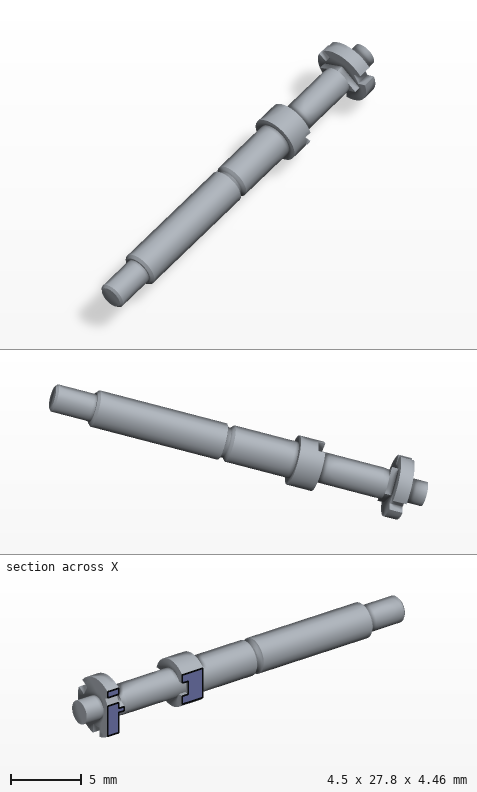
import cadquery as cq

length = 27.8
head_end = length / 2

flange_start = 1.47
flange_end = 2.47
key_end = 2.95
neck_taper_end = 3.35
collar_start = 7.98
collar_end = 9.8
groove_start = 14.55
groove_bottom = 14.8
groove_end = 15.12
body_end = 24.8

head_radius = 0.9
flange_radius = 2.25
neck_radius = 1.1
collar_radius = 1.8
body_radius = 1.33
tail_radius = 1.0

neck_taper_depth = 0.042
body_chamfer = 0.2
tail_chamfer = 0.17

notch_count = 3
notch_width = 0.83
notch_floor_radius = 1.5
notch_overshoot = 0.28

key_width = 3.25
key_height = 2.22

slot_width = 1.0
slot_depth = 0.53


def workplane_at(distance):
    """XZ plane at a distance from the head end, with its normal toward -Y."""
    return cq.Workplane("XZ", origin=(0, head_end - distance, 0))


def cylinder(radius, start, end):
    return workplane_at(start).circle(radius).extrude(end - start)


def make_flange():
    flange = cylinder(flange_radius, flange_start, flange_end)
    thickness = flange_end - flange_start
    notch_reach = flange_radius - notch_floor_radius + notch_overshoot
    notch = (
        workplane_at(flange_start)
        .center(0, -notch_floor_radius - notch_reach / 2)
        .rect(notch_width, notch_reach)
        .extrude(thickness)
    )
    for index in range(notch_count):
        angle = index * 360 / notch_count
        flange = flange.cut(notch.rotate((0, 0, 0), (0, 1, 0), angle))
    return flange


def make_key():
    corners = [(key_width / 2, 0), (0, key_height / 2), (-key_width / 2, 0), (0, -key_height / 2)]
    return workplane_at(flange_end).polyline(corners).close().extrude(key_end - flange_end)


def make_neck():
    taper_length = neck_taper_end - key_end
    neck = cylinder(neck_radius, key_end, collar_start + slot_depth)
    return neck.faces(">Y").chamfer(taper_length, neck_taper_depth)


def make_collar():
    collar = cylinder(collar_radius, collar_start, collar_end)
    slot = workplane_at(collar_start).rect(2 * collar_radius, slot_width).extrude(slot_depth)
    return collar.cut(slot)


def make_body():
    body = cylinder(body_radius, collar_end, body_end).faces("<Y").chamfer(body_chamfer)
    groove_depth = groove_bottom - groove_start
    arc_length = groove_end - groove_bottom
    arc_radius = (arc_length**2 + groove_depth**2) / (2 * groove_depth)
    groove = (
        cq.Workplane("XY")
        .moveTo(body_radius, head_end - groove_start)
        .lineTo(body_radius - groove_depth, head_end - groove_bottom)
        .radiusArc((body_radius, head_end - groove_end), -arc_radius)
        .close()
        .revolve(360, (0, 0, 0), (0, 1, 0))
    )
    return body.cut(groove)


head = cylinder(head_radius, 0, flange_start)
tail = cylinder(tail_radius, body_end, length).faces("<Y").chamfer(tail_chamfer)

result = (
    head.union(make_flange())
    .union(make_key())
    .union(make_neck())
    .union(make_collar())
    .union(make_body())
    .union(tail)
)